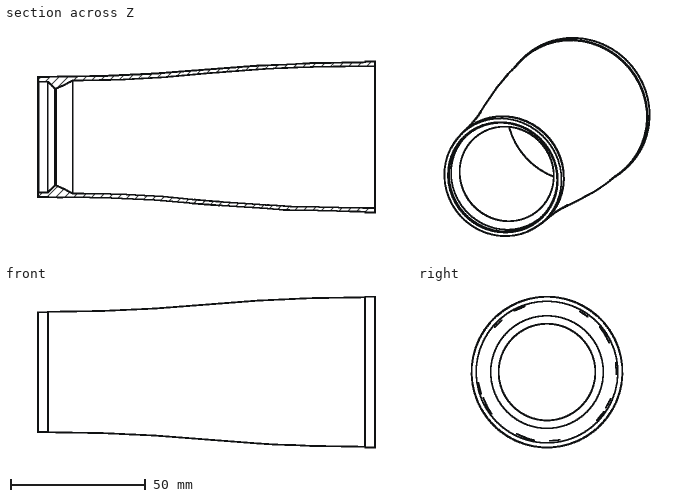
import cadquery as cq
import math

length = 125.0
band_width = 3.6
small_radius = 22.2
large_radius = 28.0
small_band_step = 0.1
large_band_step = 0.2
step_length = 0.2
wall = 1.5

flare_start = band_width + step_length
flare_end = length - band_width - step_length
flare_middle = length / 2
flare_small_radius = small_radius + small_band_step
flare_large_radius = large_radius - large_band_step
flare_middle_radius = (flare_small_radius + flare_large_radius) / 2

lip_radius = flare_small_radius - wall
socket_radius = 20.5
lip_chamfer = lip_radius - socket_radius
socket_depth = 3.8
throat_radius = 17.9
throat_start = socket_depth + socket_radius - throat_radius
throat_land = 0.4
throat_end = throat_start + throat_land
bore_start = 12.9

bore_small_radius = lip_radius
bore_middle_radius = flare_middle_radius - wall
bore_large_radius = flare_large_radius - wall

LEVEL = (1, 0)


def revolve_profile(profile):
    """Close a half profile and turn it about the X axis."""
    return profile.close().revolve(360, (0, 0, 0), (1, 0, 0))


def middle_direction(level_point, middle_point):
    """Direction at middle_point of a curve bending evenly from level_point, where it is level."""
    run = middle_point[0] - level_point[0]
    rise = middle_point[1] - level_point[1]
    slope_angle = 2 * math.atan(rise / run)
    return (math.cos(slope_angle), math.sin(slope_angle))


def add_flare(profile, start, middle, end):
    """Continue a profile with a smooth S-curve in two halves, level at both ends."""
    return (
        profile.lineTo(*start)
        .spline([middle], tangents=[LEVEL, middle_direction(start, middle)], includeCurrent=True)
        .spline([end], tangents=[middle_direction(end, middle), LEVEL], includeCurrent=True)
    )


def outer_body():
    """Solid body: two end bands, each stepping conically into the S-shaped flare."""
    profile = cq.Workplane("XZ").lineTo(0, small_radius).lineTo(band_width, small_radius)
    profile = add_flare(
        profile,
        (flare_start, flare_small_radius),
        (flare_middle, flare_middle_radius),
        (flare_end, flare_large_radius),
    )
    profile = profile.lineTo(length - band_width, large_radius).lineTo(length, large_radius)
    profile = profile.lineTo(length, 0)
    return revolve_profile(profile)


def inner_passage():
    """Through passage: chamfered socket, narrow throat, then the flared bore."""
    profile = (
        cq.Workplane("XZ")
        .lineTo(0, lip_radius)
        .lineTo(lip_chamfer, socket_radius)
        .lineTo(socket_depth, socket_radius)
        .lineTo(throat_start, throat_radius)
        .lineTo(throat_end, throat_radius)
    )
    profile = add_flare(
        profile,
        (bore_start, bore_small_radius),
        (flare_middle, bore_middle_radius),
        (flare_end, bore_large_radius),
    )
    profile = profile.lineTo(length, bore_large_radius).lineTo(length, 0)
    return revolve_profile(profile)


result = outer_body().cut(inner_passage())